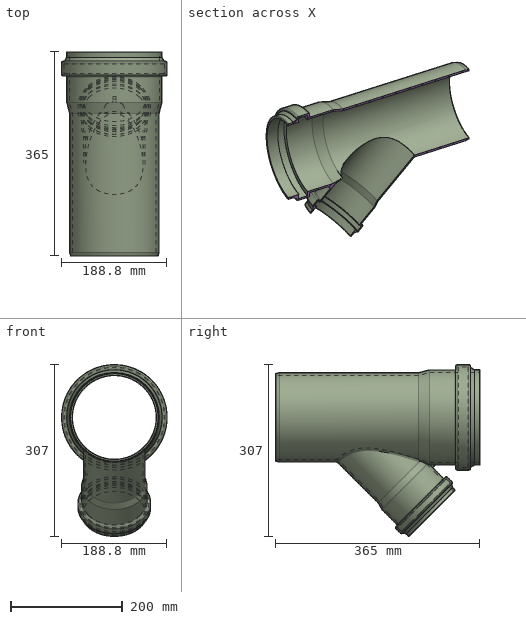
import cadquery as cq
import math


RUN_LENGTH = 365.0
RUN_MOUTH_Y = 256.9
RUN_PIPE_OD = 160.1
RUN_PIPE_ID = 149.54
SPIGOT_CHAMFER_LENGTH = 7.0
SPIGOT_CHAMFER_ANGLE = 15.0

BRANCH_ANGLE = 45.0
BRANCH_LENGTH = 242.3
BRANCH_PIPE_OD = 110.0
BRANCH_PIPE_ID = 102.44

LIP_CONE_ANGLE = 30.0
RUN_SOCKET = {
    "wall": 4.7,
    "mouth_bore": 161.0,
    "deep_bore": 160.7,
    "bead_od": 188.8,
    "mouth_round": 1.0,
    "lip_end": 9.8,
    "bead_front": 16.8,
    "bead_back": 43.4,
    "bead_round": 3.3,
    "root_round": 1.4,
    "taper_start": 90.6,
    "taper_end": 109.7,
}
BRANCH_SOCKET = {
    "wall": 3.3,
    "mouth_bore": 110.9,
    "deep_bore": 110.6,
    "bead_od": 130.0,
    "mouth_round": 0.7,
    "lip_end": 6.8,
    "bead_front": 12.1,
    "bead_back": 28.9,
    "bead_round": 2.3,
    "root_round": 1.0,
    "taper_start": 68.4,
    "taper_end": 81.3,
}

WEB_THICKNESS = 5.0
WEB_START = 57.0
WEB_LENGTH = 20.0
WEB_HEIGHT = 12.0

JUNCTION_BLEND = 2.0
JUNCTION_RUN_START = -60.0
JUNCTION_RUN_LENGTH = 220.0
JUNCTION_BRANCH_LENGTH = 180.0


def quarter_round(profile, start, end, corner):
    """Add a tangent quarter arc that rounds the given corner."""
    across = 1 - math.sqrt(0.5)
    middle = tuple(
        c + across * ((s - c) + (e - c)) for c, s, e in zip(corner, start, end)
    )
    return profile.lineTo(*start).threePointArc(middle, end)


def revolve_profile(profile):
    """Close a (radius, distance) profile on the axis and revolve it about +Y."""
    return profile.close().revolve(360, (0, 0, 0), (0, 1, 0))


def outer_body(socket, pipe_od, length, chamfer_length=0.0):
    """Solid outer shape with the socket mouth at Y = 0 and the pipe running to Y = length."""
    wall = socket["wall"]
    mouth_r = socket["mouth_bore"] / 2 + wall
    deep_r = socket["deep_bore"] / 2 + wall
    bead_r = socket["bead_od"] / 2
    pipe_r = pipe_od / 2
    front = socket["bead_front"]
    back = socket["bead_back"]
    mouth_round = socket["mouth_round"]
    bead_round = socket["bead_round"]
    root_round = socket["root_round"]
    lip_rise = (front - socket["lip_end"]) * math.tan(math.radians(LIP_CONE_ANGLE))
    tip_r = pipe_r - chamfer_length * math.tan(math.radians(SPIGOT_CHAMFER_ANGLE))

    profile = cq.Workplane("XY").moveTo(0, 0)
    profile = quarter_round(profile, (mouth_r - mouth_round, 0), (mouth_r, mouth_round), (mouth_r, 0))
    profile = profile.lineTo(mouth_r, socket["lip_end"]).lineTo(mouth_r + lip_rise, front)
    profile = quarter_round(
        profile, (bead_r - bead_round, front), (bead_r, front + bead_round), (bead_r, front)
    )
    profile = quarter_round(
        profile, (bead_r, back - bead_round), (bead_r - bead_round, back), (bead_r, back)
    )
    profile = quarter_round(
        profile, (deep_r + root_round, back), (deep_r, back + root_round), (deep_r, back)
    )
    profile = profile.lineTo(deep_r, socket["taper_start"]).lineTo(pipe_r, socket["taper_end"])
    profile = profile.lineTo(pipe_r, length - chamfer_length)
    if chamfer_length:
        profile = profile.lineTo(tip_r, length)
    return revolve_profile(profile.lineTo(0, length))


def bore_body(socket, pipe_id, length):
    """Solid inner shape: socket bore, seal groove inside the bead, taper and pipe bore."""
    wall = socket["wall"]
    mouth_r = socket["mouth_bore"] / 2
    deep_r = socket["deep_bore"] / 2
    groove_r = socket["bead_od"] / 2 - wall
    groove_front = socket["bead_front"] + wall
    groove_back = socket["bead_back"] - wall

    profile = (
        cq.Workplane("XY")
        .moveTo(0, 0)
        .lineTo(mouth_r, 0)
        .lineTo(mouth_r, groove_front)
        .lineTo(groove_r, groove_front)
        .lineTo(groove_r, groove_back)
        .lineTo(deep_r, groove_back)
        .lineTo(deep_r, socket["taper_start"])
        .lineTo(pipe_id / 2, socket["taper_end"])
        .lineTo(pipe_id / 2, length)
        .lineTo(0, length)
    )
    return revolve_profile(profile)


def place_on_run(body):
    """Turn a body so that its mouth faces +Y at the run socket position."""
    return body.rotate((0, 0, 0), (0, 0, 1), 180).translate((0, RUN_MOUTH_Y, 0))


def place_on_branch(body):
    """Move a body so that its mouth faces down and towards +Y at the branch end."""
    body = body.rotate((0, 0, 0), (0, 0, 1), 180).translate((0, BRANCH_LENGTH, 0))
    return body.rotate((0, 0, 0), (1, 0, 0), -BRANCH_ANGLE)


def corner_web():
    """Flat web on the run side of the branch socket, built in the branch's own frame."""
    root_r = BRANCH_SOCKET["deep_bore"] / 2
    return cq.Workplane("XY").box(
        WEB_THICKNESS, WEB_LENGTH, WEB_HEIGHT, centered=(True, False, False)
    ).translate((0, WEB_START, root_r))


def junction_body():
    """Plain run and branch pipes, blended where they meet."""
    along_y = cq.Vector(0, 1, 0)
    run_start = cq.Vector(0, JUNCTION_RUN_START, 0)
    run = cq.Workplane(
        cq.Solid.makeCylinder(RUN_PIPE_OD / 2, JUNCTION_RUN_LENGTH, run_start, along_y)
    )
    branch = cq.Workplane(
        cq.Solid.makeCylinder(BRANCH_PIPE_OD / 2, JUNCTION_BRANCH_LENGTH, cq.Vector(0, 0, 0), along_y)
    )
    branch = branch.rotate((0, 0, 0), (0, 1, 0), 180).rotate((0, 0, 0), (1, 0, 0), -BRANCH_ANGLE)
    run = run.rotate((0, 0, 0), (0, 1, 0), 90)
    return run.union(branch).edges("not(%CIRCLE or %LINE)").fillet(JUNCTION_BLEND)


run_outer = place_on_run(outer_body(RUN_SOCKET, RUN_PIPE_OD, RUN_LENGTH, SPIGOT_CHAMFER_LENGTH))
run_bore = place_on_run(bore_body(RUN_SOCKET, RUN_PIPE_ID, RUN_LENGTH))
branch_outer = place_on_branch(outer_body(BRANCH_SOCKET, BRANCH_PIPE_OD, BRANCH_LENGTH))
branch_bore = place_on_branch(bore_body(BRANCH_SOCKET, BRANCH_PIPE_ID, BRANCH_LENGTH))

result = run_outer.union(branch_outer).union(junction_body()).union(place_on_branch(corner_web()))
result = result.cut(run_bore).cut(branch_bore)